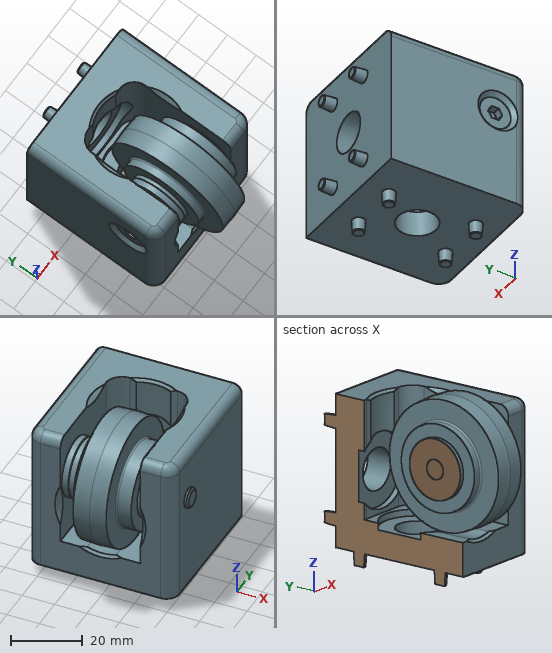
import cadquery as cq
import math


cube = 45.0
half_cube = cube / 2
upright_edge_radius = 4.0
top_edge_radius = 3.0

pocket_width = 24.6
pocket_wall = 10.1
pocket_corner_radius = 5.0

bevel = 0.8
top_relief_radius = 25.8 / 2
top_relief_y = 23.1
front_relief_radius = 13.15
top_counterbore_diameter = 22.0
front_counterbore_diameter = 22.2
counterbore_depth = 2.0
bolt_hole_diameter = 12.5

peg_length = 4.0
peg_base_radius = 2.05
peg_tip_radius = 1.75
peg_tip_chamfer = 0.25
peg_spacing_x = 16.0
peg_spacing_along = 28.5

axis_y = 9.95
axis_z = 29.55

screw_radius = 6.0 / 2
screw_tip_projection = 1.2
screw_tip_x = half_cube + screw_tip_projection
screw_tip_chamfer = 0.5
recess_mouth_radius = 13.0 / 2
recess_depth = 1.4
head_radius = recess_mouth_radius - recess_depth
head_cone_depth = recess_mouth_radius - screw_radius
hex_across_flats = 4.0
hex_depth = 2.65

hub_left_x = -6.85
hub_right_x = 10.9
hub_radius = 25.8 / 2
hub_fillet = 0.5
tread_left_x = -4.05
tread_right_x = 6.15
tread_radius = 19.5
tread_crown = 0.25

spacer_radius = 18.0 / 2
spacer_gap = 0.2
outer_spacer_width = 2.0
middle_spacer_left_x = -pocket_width / 2 + outer_spacer_width + spacer_gap
inner_spacer_left_x = -8.15


def cylinder_x(radius, start_x, end_x):
    """Cylinder on the roller axis."""
    start = cq.Vector(start_x, axis_y, axis_z)
    return cq.Workplane(cq.Solid.makeCylinder(radius, end_x - start_x, start, cq.Vector(1, 0, 0)))


def revolve_x(outline):
    """Solid of revolution about the roller axis from (x, radius) points."""
    profile = cq.Workplane("XY", origin=(0, axis_y, axis_z)).polyline(outline).close()
    return profile.revolve(360, (0, 0, 0), (1, 0, 0))


def make_peg(base, direction):
    """Tapered peg with a chamfered tip, standing on a face."""
    peg = cq.Workplane(cq.Plane(origin=base, normal=direction)).circle(peg_base_radius)
    peg = peg.workplane(offset=peg_length).circle(peg_tip_radius).loft(ruled=True)
    tip = cq.selectors.DirectionMinMaxSelector(cq.Vector(direction))
    return peg.faces(tip).chamfer(peg_tip_chamfer)


def make_block():
    """Cube with rounded front and top edges; the back and bottom edges stay sharp."""
    block = cq.Workplane().box(cube, cube, cube, centered=(True, False, False))
    block = block.edges("|Z and <Y").fillet(upright_edge_radius)
    return block.faces(">Z").edges("not >Y").fillet(top_edge_radius)


def make_pocket():
    """Volume of the roller pocket, with two rounded rear corners."""
    depth = cube - pocket_wall
    pocket = cq.Workplane().box(pocket_width, depth, depth, centered=(True, False, False))
    pocket = pocket.translate((0, 0, pocket_wall))
    return pocket.edges("|Z and >Y").fillet(pocket_corner_radius)


def make_bolt_opening(mouth, relief_radius, relief_center_shift, counterbore_diameter):
    """Tool volume of one bolt opening.

    mouth is a plane on the housing face, its normal pointing out of the housing. The relief is
    only as wide as the pocket and ends halfway into the housing; the counterbore also clears the
    rounded pocket corners in front of it; the bolt hole goes right through.
    """
    pocket_end = -(cube - pocket_wall)
    relief_at = mouth.origin + mouth.yDir * relief_center_shift
    inward = mouth.zDir * -1
    mouth_radius = relief_radius + bevel
    cone = cq.Workplane(cq.Solid.makeCone(mouth_radius, 0, mouth_radius, relief_at, inward))
    relief = cq.Workplane(cq.Solid.makeCylinder(relief_radius, half_cube, relief_at, inward))
    slab = cq.Workplane().box(pocket_width, cube, cube).translate((0, half_cube, half_cube))
    hole = cq.Workplane(mouth).circle(bolt_hole_diameter / 2).extrude(-cube)
    counterbore = cq.Workplane(mouth).workplane(offset=pocket_end - counterbore_depth)
    counterbore = counterbore.circle(counterbore_diameter / 2)
    counterbore = counterbore.extrude(counterbore_depth + pocket_corner_radius)
    return [cone, relief.intersect(slab), counterbore, hole]


def make_screw_envelope():
    """Space taken by the screw: recess and head as one countersink, then the shank."""
    left = -half_cube
    return revolve_x([
        (left, 0),
        (left, recess_mouth_radius),
        (left + head_cone_depth, screw_radius),
        (half_cube, screw_radius),
        (half_cube, 0),
    ])


def make_housing():
    housing = make_block().cut(make_pocket())
    top_mouth = cq.Plane(origin=(0, half_cube, cube), xDir=(1, 0, 0), normal=(0, 0, 1))
    front_mouth = cq.Plane(origin=(0, 0, half_cube), xDir=(1, 0, 0), normal=(0, -1, 0))
    openings = make_bolt_opening(
        top_mouth, top_relief_radius, top_relief_y - half_cube, top_counterbore_diameter
    )
    openings += make_bolt_opening(front_mouth, front_relief_radius, 0, front_counterbore_diameter)
    for opening in openings:
        housing = housing.cut(opening)
    housing = housing.cut(make_screw_envelope())
    for x in (-peg_spacing_x / 2, peg_spacing_x / 2):
        for along in (half_cube - peg_spacing_along / 2, half_cube + peg_spacing_along / 2):
            housing = housing.union(make_peg((x, cube, along), (0, 1, 0)))
            housing = housing.union(make_peg((x, along, 0), (0, 0, -1)))
    return housing


def make_screw():
    """Countersunk screw with a hexagon socket and a chamfered tip."""
    head_x = -half_cube + recess_depth
    screw = revolve_x([
        (head_x, 0),
        (head_x, head_radius),
        (-half_cube + head_cone_depth, screw_radius),
        (screw_tip_x - screw_tip_chamfer, screw_radius),
        (screw_tip_x, screw_radius - screw_tip_chamfer),
        (screw_tip_x, 0),
    ])
    across_corners = hex_across_flats / math.cos(math.pi / 6)
    socket = cq.Workplane("YZ", origin=(head_x, axis_y, axis_z))
    return screw.cut(socket.polygon(6, across_corners).extrude(hex_depth))


def make_roller():
    """Roller with a slightly crowned tread and a hub standing out on both sides."""
    edge_radius = tread_radius - tread_crown
    roller = revolve_x([
        (hub_left_x, screw_radius),
        (hub_left_x, hub_radius),
        (tread_left_x, hub_radius),
        (tread_left_x, edge_radius),
        ((tread_left_x + tread_right_x) / 2, tread_radius),
        (tread_right_x, edge_radius),
        (tread_right_x, hub_radius),
        (hub_right_x, hub_radius),
        (hub_right_x, screw_radius),
    ])
    margin = hub_fillet / 2
    for x in (tread_left_x, tread_right_x):
        hub_root = cq.selectors.BoxSelector(
            (x - margin, axis_y - hub_radius - margin, axis_z - hub_radius - margin),
            (x + margin, axis_y + hub_radius + margin, axis_z + hub_radius + margin),
            boundingbox=True,
        )
        roller = roller.edges(hub_root).fillet(hub_fillet)
    return roller


def make_spacer(start_x, end_x):
    spacer = cylinder_x(spacer_radius, start_x, end_x)
    return spacer.cut(cylinder_x(screw_radius, start_x, end_x))


housing = make_housing()
screw = make_screw()
roller = make_roller()
spacer_spans = [
    (-pocket_width / 2, -pocket_width / 2 + outer_spacer_width),
    (middle_spacer_left_x, inner_spacer_left_x),
    (inner_spacer_left_x, hub_left_x),
    (hub_right_x, pocket_width / 2),
]
spacers = [make_spacer(start_x, end_x) for start_x, end_x in spacer_spans]

result = cq.Compound.makeCompound(
    [housing.val(), screw.val(), roller.val()] + [spacer.val() for spacer in spacers]
)